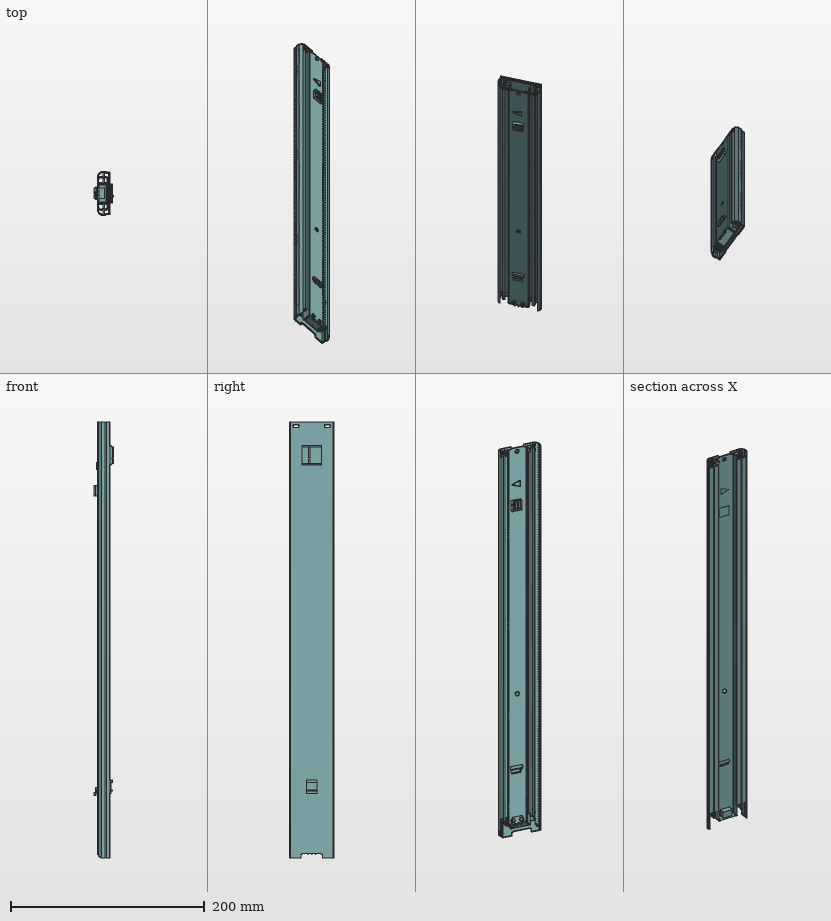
import cadquery as cq


length = 450.0
rail_height = 45.7
rail_depth = 12.7
lance_reach = 20.19 / 2
sheet = 1.2

half_sheet = sheet / 2
z_top = length / 2
z_bottom = -length / 2
back_face = rail_depth / 2
front_face = -rail_depth / 2
outer_crest = rail_height / 2 - half_sheet

track_half = 1.3
track_bevel = 1.3
cage_half = 1.0
cage_top = 218.0
cage_bottom = -206.5

outer_web_x = back_face - half_sheet
outer_shoulder_y = 21.3
outer_crest_end = 1.9
outer_bend = 0.9
outer_lip_x = -4.9
outer_lip_end_y = 20.3
web_window = (13.5, 19.0, 219.3, 221.7)
bottom_notch_half = 10.9
bottom_notch_depth = 4.7
lip_chamfer = 2.6

middle_web_x = 3.9
middle_web_corner_y = 15.6
middle_track_y = 16.4
middle_shoulder_y = 16.9
middle_lip_x = -5.3
middle_lip_corner_y = 16.4
middle_lip_end_y = 14.8
middle_bottom = -213.0
end_stop = (7.0, 18.9, 3.0)

inner_web_x = front_face + half_sheet
inner_track_y = 10.2
inner_flange_y = 10.6
inner_corner = 0.7
inner_top = 222.0
inner_bottom = -218.5
inner_tongue_half = 7.0
inner_tongue_height = 1.0



def box(x_from, x_to, y_from, y_to, z_from, z_to):
    """Box given by its limits along the three axes."""
    size = (x_to - x_from, y_to - y_from, z_to - z_from)
    return cq.Workplane("XY").box(*size, centered=False).translate((x_from, y_from, z_from))


def folded_sheet(upper_half, z_from, z_to):
    """Sheet rail whose centre line is given for Y >= 0, from the web out to the free edge."""
    lower_half = [(x, -y) for x, y in reversed(upper_half)]
    outline = cq.Workplane("XY").workplane(offset=z_from).polyline(lower_half + upper_half)
    return outline.offset2D(half_sheet, "intersection").extrude(z_to - z_from)


def track(y, shoulder_y):
    """Centre line of a flat ball track between two shoulders, running towards -X."""
    outside = track_half + track_bevel
    return [(outside, shoulder_y), (track_half, y), (-track_half, y), (-outside, shoulder_y)]


def mirrored_cut(body, cutter):
    """Cut with the cutter and with its mirror image in Y."""
    return body.cut(cutter).cut(cutter.mirror("XZ"))




def clip_block():
    """Wide clip near the top: bevelled block, crossed by a groove, with one raised rib."""
    z_low, z_high = 180.5, 200.5
    half_width = 9.8
    block_face = 8.8
    rib_y, rib_half = -2.7, 0.8
    bevel = 1.4
    groove_z, groove_width = 186.6, 1.4
    clip = box(back_face, block_face, -half_width, half_width, z_low, z_high)
    clip = clip.faces(">X").edges("|Y").chamfer(bevel)
    rib = box(back_face, lance_reach, rib_y - rib_half, rib_y + rib_half, z_low + bevel, z_high - bevel)
    groove = box(block_face, lance_reach, -half_width, half_width, groove_z, groove_z + groove_width)
    return clip.union(rib.cut(groove))


def back_hook():
    """Low pad near the bottom with a raised lip at each end."""
    z_low, z_high = -158.2, -144.6
    half_width = 5.4
    pad_face, lip_face = 7.6, 8.8
    lip_height = 2.2
    pad = box(back_face, pad_face, -half_width, half_width, z_low, z_high)
    upper_lip = box(back_face, lip_face, -half_width, half_width, z_high - lip_height, z_high)
    lower_lip_z = z_low + lip_height
    lower_lip = box(back_face, lip_face, -half_width, half_width, lower_lip_z, lower_lip_z + lip_height / 2)
    return pad.union(upper_lip).union(lower_lip)


def outer_rail():
    profile = [
        (outer_web_x, outer_shoulder_y),
        (track_half + track_bevel, outer_shoulder_y),
        (track_half, outer_crest),
        (-outer_crest_end, outer_crest),
        (outer_lip_x, outer_lip_end_y),
    ]
    rail = folded_sheet(profile, z_bottom, z_top)
    rail = rail.faces(">X").edges("|Z").fillet(outer_bend)
    rail = mirrored_cut(rail, window_cutter()).cut(bottom_notch())
    front = outer_lip_x - half_sheet
    corner = [(front, z_bottom), (front + lip_chamfer, z_bottom), (front, z_bottom + lip_chamfer)]
    chamfer_cutter = cq.Workplane("XZ").polyline(corner).close().extrude(rail_height / 2, both=True)
    return rail.cut(chamfer_cutter).union(clip_block()).union(back_hook())


def window_cutter():
    """Box for the slot that passes through the outer and middle rails near the top, on the +Y side."""
    return box(front_face, back_face, *web_window)


def bottom_notch():
    """Notch through the web at the bottom end, with slanted upper corners."""
    slant = 2.0
    notch_top = z_bottom + bottom_notch_depth
    half = [
        (bottom_notch_half, z_bottom),
        (bottom_notch_half, notch_top - slant / 2),
        (bottom_notch_half - slant, notch_top),
    ]
    other_half = [(-y, z) for y, z in reversed(half)]
    outline = cq.Workplane("YZ").polyline(half + other_half).close()
    return outline.extrude(back_face)




def middle_rail():
    profile = [
        (middle_web_x, middle_web_corner_y),
        *track(middle_track_y, middle_shoulder_y),
        (middle_lip_x, middle_lip_corner_y),
        (middle_lip_x, middle_lip_end_y),
    ]
    rail = mirrored_cut(folded_sheet(profile, middle_bottom, z_top), window_cutter())
    stop_from, stop_to, stop_height = end_stop
    stop = box(front_face, outer_lip_x - half_sheet, stop_from, stop_to, z_top - stop_height, z_top)
    return rail.union(stop).union(stop.mirror("XZ"))




def ribbed_hook():
    """Square hook with upright grooves in its face, crossed on the +Y half by a level groove."""
    half_width = 5.4
    z_low, z_high = 148.2, 159.4
    wall = 0.8
    upright_width = 1.9
    groove_depth = 1.5
    groove_z, groove_width = 153.2, 1.4
    groove_floor = -lance_reach + groove_depth
    hook = box(-lance_reach, front_face, -half_width, half_width, z_low, z_high)
    hook = hook.cut(box(-lance_reach, groove_floor, 0, half_width, groove_z, groove_z + groove_width))
    for index in range(3):
        y = -half_width + wall + index * (upright_width + wall)
        hook = hook.cut(box(-lance_reach, groove_floor, y, y + upright_width, z_low + wall, z_high - wall))
    return hook


def arrow_mark():
    """Raised arrow pointing to +Y."""
    face = -7.6
    tip_y, base_y = 5.4, -4.0
    z_middle, half_height = 179.3, 3.6
    outline = [(tip_y, z_middle), (base_y, z_middle + half_height), (base_y, z_middle - half_height)]
    return cq.Workplane("YZ").workplane(offset=face).polyline(outline).close().extrude(front_face - face)


def lower_hook():
    """Wide shelf with a narrower tongue below it that reaches furthest out."""
    shelf_half, tongue_half = 6.4, 5.0
    shelf_z, shelf_top = -155.5, -152.0
    tongue_z, tongue_top = -160.7, -157.2
    shelf_face, stem_face = -8.4, -8.6
    stem_half_height = 0.8
    tongue_root = -lance_reach + 2.0
    shelf = box(shelf_face, front_face, -shelf_half, shelf_half, shelf_z, shelf_top)
    stem_z, stem_top = tongue_top - stem_half_height, tongue_top + stem_half_height
    stem = box(stem_face, front_face, -tongue_half, tongue_half, stem_z, stem_top)
    tongue = box(-lance_reach, tongue_root, -tongue_half, tongue_half, tongue_z, tongue_top)
    return shelf.union(stem).union(tongue)


def inner_rail():
    profile = [
        (inner_web_x, inner_flange_y - inner_corner),
        (inner_web_x + inner_corner, inner_flange_y),
        *reversed(track(inner_track_y, inner_flange_y)),
    ]
    rail = folded_sheet(profile, inner_bottom, inner_top)
    web_back = front_face + sheet
    tongue_top = inner_top + inner_tongue_height
    rail = rail.union(box(front_face, web_back, -inner_tongue_half, inner_tongue_half, inner_top, tongue_top))
    stop_half, stop_back = 9.0, track_half + track_bevel
    rail = rail.union(box(front_face, stop_back, -stop_half, stop_half, inner_bottom, inner_bottom + sheet))
    pad_half, pad_back, pad_top = 5.4, 0.7, -210.0
    rail = rail.union(box(front_face, pad_back, -pad_half, pad_half, inner_bottom, pad_top))
    tooth_pitch, tooth_half, tooth_height = 4.0, 1.3, 2.7
    for y in (-tooth_pitch, 0, tooth_pitch):
        corners = [
            (y - tooth_half, inner_bottom),
            (y + tooth_half, inner_bottom),
            (y, inner_bottom - tooth_height),
        ]
        tooth = cq.Workplane("YZ").workplane(offset=front_face).polyline(corners).close().extrude(sheet)
        rail = rail.union(tooth)
    hex_y, hex_z, hex_size = 4.8, -214.5, 5.0
    hex_holes = cq.Workplane("YZ").workplane(offset=front_face)
    hex_holes = hex_holes.pushPoints([(hex_y, hex_z), (-hex_y, hex_z)]).polygon(6, hex_size).extrude(sheet)
    rail = rail.cut(hex_holes)
    round_hole_z, round_hole_diameter = -66.4, 4.5
    screw_hole_z, screw_hole_diameter, countersink_diameter = 218.0, 2.0, 4.5
    rail = rail.cut(hole_plug(round_hole_z, round_hole_diameter, round_hole_diameter))
    rail = rail.cut(hole_plug(screw_hole_z, countersink_diameter, screw_hole_diameter))
    return rail.union(ribbed_hook()).union(arrow_mark()).union(lower_hook())


def hole_plug(z, front_diameter, back_diameter):
    """Straight or conical plug through the inner web, used to cut its holes."""
    start = cq.Workplane("YZ").workplane(offset=front_face).center(0, z).circle(front_diameter / 2)
    return start.workplane(offset=sheet).circle(back_diameter / 2).loft()




def ball_cage(side, y_inside, y_outside):
    """Strip filling the gap between two facing ball tracks, on the +Y (1) or -Y (-1) side."""
    y_from, y_to = sorted((side * y_inside, side * y_outside))
    return box(-cage_half, cage_half, y_from, y_to, cage_bottom, cage_top)


bodies = [outer_rail(), middle_rail(), inner_rail()]
for side in (1, -1):
    bodies.append(ball_cage(side, middle_track_y + half_sheet, outer_crest - half_sheet))
    bodies.append(ball_cage(side, inner_track_y + half_sheet, middle_track_y - half_sheet))

result = cq.Compound.makeCompound([body.solids().val() for body in bodies])